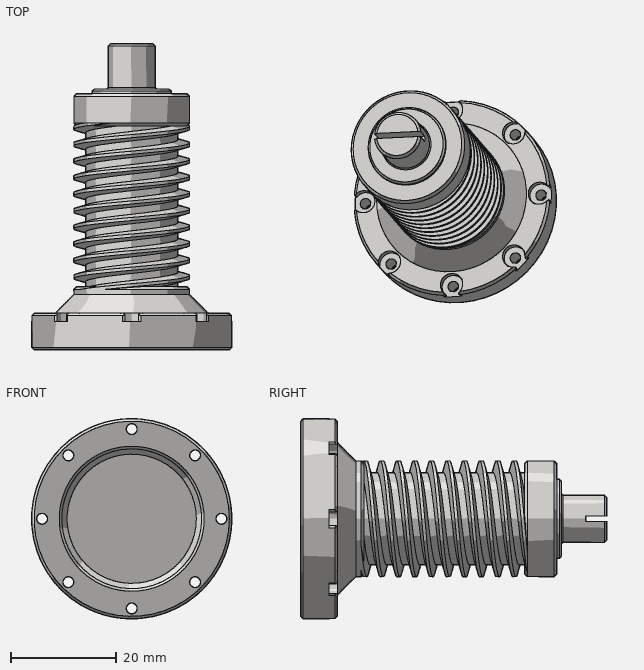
import cadquery as cq
import math

edge_chamfer = 0.5

flange_radius = 19.0
flange_thickness = 7.0
shoulder_base_radius = 14.5

module = 1.0
thread_starts = 2
flank_angle = math.radians(15)
crest_width = 0.6
crest_radius = 11.0
tooth_height = 2.25 * module
root_radius = crest_radius - tooth_height
pitch = math.pi * module
lead = thread_starts * pitch

collar_bottom = 10.5
collar_top = 12.0
cap_bottom = 42.5
cap_top = 48.6
first_tooth_drop = 1.3

disc_radius = 7.5
disc_top = cap_top + 0.9
disc_chamfer = 0.4
pin_radius = 4.5
pin_top = 58.1
pin_base_flare = 0.25
slot_width = 1.0
slot_depth = 4.0

recess_radius = 13.25
recess_depth = 3.5
recess_floor_chamfer = 1.0

hole_count = 8
hole_circle_radius = 17.0
hole_diameter = 2.0
counterbore_radius = 2.15
counterbore_depth = 1.6
mouth_throat_half_width = 1.27
mouth_rim_half_width = 1.72


def turned_body():
    """Everything round about Y, with the thread zone left at the root radius."""
    outline = [
        (0, 0),
        (flange_radius - edge_chamfer, 0),
        (flange_radius, edge_chamfer),
        (flange_radius, flange_thickness - edge_chamfer),
        (flange_radius - edge_chamfer, flange_thickness),
        (shoulder_base_radius, flange_thickness),
        (crest_radius, collar_bottom),
        (crest_radius, collar_top - edge_chamfer),
        (crest_radius - edge_chamfer, collar_top),
        (root_radius, collar_top),
        (root_radius, cap_bottom),
        (crest_radius - edge_chamfer, cap_bottom),
        (crest_radius, cap_bottom + edge_chamfer),
        (crest_radius, cap_top - edge_chamfer),
        (crest_radius - edge_chamfer, cap_top),
        (disc_radius, cap_top),
        (disc_radius, disc_top - disc_chamfer),
        (disc_radius - disc_chamfer, disc_top),
        (pin_radius + pin_base_flare, disc_top),
        (pin_radius, disc_top + pin_base_flare),
        (pin_radius, pin_top - edge_chamfer),
        (pin_radius - edge_chamfer, pin_top),
        (0, pin_top),
    ]
    return cq.Workplane("XY").polyline(outline).close().revolve(360, (0, 0), (0, 1))


def face_recess():
    """Round recess with a chamfered mouth and a chamfered floor corner."""
    outline = [
        (0, 0),
        (recess_radius + edge_chamfer, 0),
        (recess_radius, edge_chamfer),
        (recess_radius, recess_depth - recess_floor_chamfer),
        (recess_radius - recess_floor_chamfer, recess_depth),
        (0, recess_depth),
    ]
    return cq.Workplane("XY").polyline(outline).close().revolve(360, (0, 0), (0, 1))


def stand_along_y(shape):
    """Turn a shape built along Z so that it runs along Y."""
    return shape.rotate((0, 0, 0), (1, 0, 0), -90)


def thread():
    """Threaded core: a root cylinder with one swept helical ridge per start."""
    overlap = 0.2
    bottom = collar_top - edge_chamfer
    height = cap_bottom + edge_chamfer - bottom
    start_height = collar_top - first_tooth_drop
    end_height = cap_bottom + pitch
    inner_radius = root_radius - overlap
    crest_half = crest_width / 2
    inner_half = crest_half + (crest_radius - inner_radius) * math.tan(flank_angle)

    helix = cq.Wire.makeHelix(lead, end_height - start_height, crest_radius)
    ridge = (
        cq.Workplane("XZ")
        .polyline([
            (inner_radius, -inner_half),
            (crest_radius, -crest_half),
            (crest_radius, crest_half),
            (inner_radius, inner_half),
        ])
        .close()
        .sweep(cq.Workplane(helix), isFrenet=True)
        .translate((0, 0, start_height))
    )
    core = cq.Workplane("XY").circle(root_radius).extrude(cap_top)
    for start in range(thread_starts):
        core = core.union(ridge.rotate((0, 0, 0), (0, 0, 1), start * 360 / thread_starts))
    thread_zone = (
        cq.Workplane("XY", origin=(0, 0, bottom))
        .rect(2 * flange_radius, 2 * flange_radius)
        .extrude(height)
    )
    return stand_along_y(core.intersect(thread_zone))


def bolt_hole():
    """Cutter for one bolt hole on the X axis: through hole, counterbore and flared mouth."""
    floor_height = flange_thickness - counterbore_depth
    throat_x = hole_circle_radius + math.sqrt(counterbore_radius**2 - mouth_throat_half_width**2)
    rim_x = math.sqrt(flange_radius**2 - mouth_rim_half_width**2)
    hole = (
        cq.Workplane("XY")
        .center(hole_circle_radius, 0)
        .circle(hole_diameter / 2)
        .extrude(flange_thickness)
    )
    counterbore = (
        cq.Workplane("XY", origin=(hole_circle_radius, 0, floor_height))
        .circle(counterbore_radius)
        .extrude(counterbore_depth)
    )
    mouth = (
        cq.Workplane("XY", origin=(0, 0, floor_height))
        .polyline([
            (throat_x, -mouth_throat_half_width),
            (rim_x, -mouth_rim_half_width),
            (flange_radius, -mouth_rim_half_width),
            (flange_radius, mouth_rim_half_width),
            (rim_x, mouth_rim_half_width),
            (throat_x, mouth_throat_half_width),
        ])
        .close()
        .extrude(counterbore_depth)
    )
    return hole.union(counterbore).union(mouth)


def pin_slot():
    """Screwdriver slot across the pin end, running along X."""
    return cq.Workplane("XY").box(2 * pin_radius, 2 * slot_depth, slot_width).translate((0, pin_top, 0))


body = turned_body().cut(face_recess()).cut(pin_slot())
for index in range(hole_count):
    cutter = bolt_hole().rotate((0, 0, 0), (0, 0, 1), index * 360 / hole_count)
    body = body.cut(stand_along_y(cutter))

result = body.union(thread())